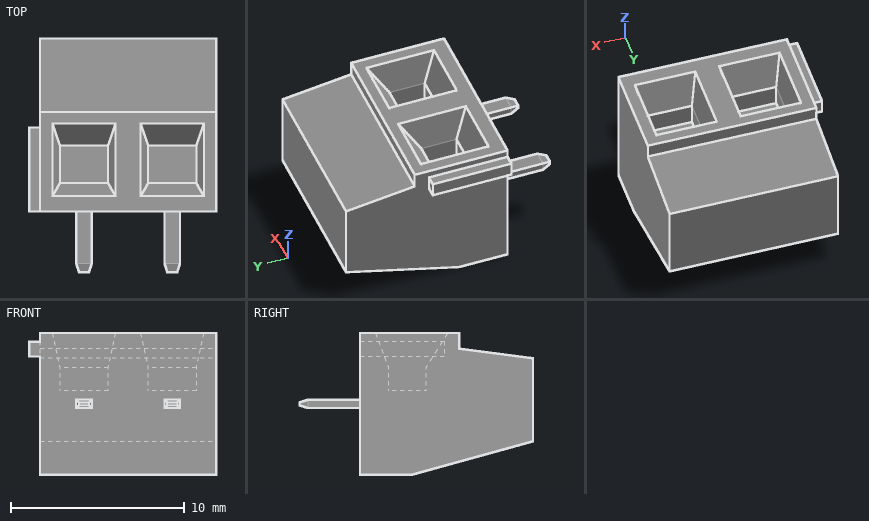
import cadquery as cq

width = 10.19
overall_length = 13.5
depth = 10.0
height = 8.2
block_depth = 5.75
ledge_drop = 0.9
rear_top_drop = 1.46
rear_bottom = 1.93
flat_bottom_depth = 3.01

rib_width = 0.62
rib_length = 4.87
rib_height = 0.86
rib_top_drop = 0.5

pole_count = 2
pitch = width / pole_count
pole_centers = [(i + 0.5) * pitch for i in range(pole_count)]

mouth_width = 3.65
mouth_depth = 4.18
mouth_front = 0.9
throat_width = 2.78
throat_depth = 2.17
throat_front = 1.65
taper_height = 1.98
shaft_height = 1.35

pin_length = overall_length - depth
pin_width = 0.9
pin_height = 0.5
pin_tip_length = 0.5
pin_tip_inset = 0.16
pin_z = height / 2


def make_shell():
    """Side profile of the housing, extruded across its width."""
    profile = [
        (0, 0),
        (0, height),
        (block_depth, height),
        (block_depth, height - ledge_drop),
        (depth, height - rear_top_drop),
        (depth, rear_bottom),
        (flat_bottom_depth, 0),
    ]
    return cq.Workplane("YZ").polyline(profile).close().extrude(width)


def make_rib():
    rib_bottom = height - rib_top_drop - rib_height
    return (
        cq.Workplane("XY")
        .box(rib_width, rib_length, rib_height, centered=False)
        .translate((-rib_width, 0, rib_bottom))
    )


def make_well(center_x):
    """Cutter for one well: an off-center taper with a straight shaft below."""
    mouth_y = mouth_front + mouth_depth / 2
    throat_y = throat_front + throat_depth / 2
    taper = (
        cq.Workplane("XY", origin=(center_x, mouth_y, height))
        .rect(mouth_width, mouth_depth)
        .workplane(offset=-taper_height)
        .center(0, throat_y - mouth_y)
        .rect(throat_width, throat_depth)
        .loft(ruled=True)
    )
    shaft = (
        cq.Workplane("XY", origin=(center_x, throat_y, height - taper_height))
        .rect(throat_width, throat_depth)
        .extrude(-shaft_height)
    )
    return taper.union(shaft)


def make_housing():
    housing = make_shell().union(make_rib())
    for center_x in pole_centers:
        housing = housing.cut(make_well(center_x))
    return housing


def make_pin(center_x):
    """Flat pin standing on the front face, tapered on all four sides at its tip."""
    shank_length = pin_length - pin_tip_length
    shank = (
        cq.Workplane("XZ", origin=(center_x, 0, pin_z))
        .rect(pin_width, pin_height)
        .extrude(shank_length)
    )
    tip = (
        cq.Workplane("XZ", origin=(center_x, -shank_length, pin_z))
        .rect(pin_width, pin_height)
        .workplane(offset=pin_tip_length)
        .rect(pin_width - 2 * pin_tip_inset, pin_height - 2 * pin_tip_inset)
        .loft(ruled=True)
    )
    return shank.union(tip)


housing = make_housing()
pins = [make_pin(center_x).solids().val() for center_x in pole_centers]

result = cq.Compound.makeCompound([housing.solids().val(), *pins])